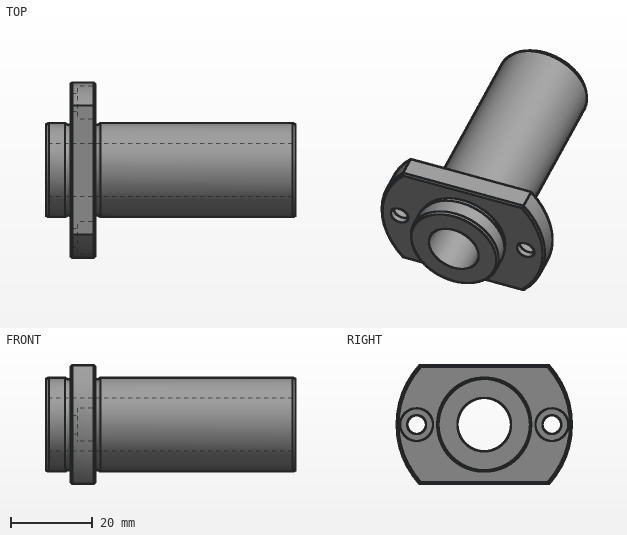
import cadquery as cq

length = 61.0
sleeve_radius = 23.0 / 2
bore_diameter = 13.0
end_chamfer_length = 0.75
end_chamfer_height = 0.35

flange_front = 6.0
flange_thickness = 6.1
flange_diameter = 42.8
flange_height = 29.0
flange_chamfer = 0.5
flange_rear = flange_front + flange_thickness

relief_width = 1.3
relief_middle_depth = 0.35
relief_flange_depth = 0.3

hole_spacing = 33.0
hole_diameter = 4.5
counterbore_diameter = 8.0
counterbore_depth = 4.4


def sleeve():
    """Revolved sleeve with tapered ends and a rounded relief on each side of the flange."""
    end_radius = sleeve_radius - end_chamfer_height
    relief_middle_radius = sleeve_radius - relief_middle_depth
    relief_flange_radius = sleeve_radius - relief_flange_depth
    front_relief_start = flange_front - relief_width
    front_relief_middle = flange_front - relief_width / 2
    rear_relief_middle = flange_rear + relief_width / 2
    rear_relief_end = flange_rear + relief_width
    profile = (
        cq.Workplane("XY")
        .lineTo(0, end_radius)
        .lineTo(end_chamfer_length, sleeve_radius)
        .lineTo(front_relief_start, sleeve_radius)
        .threePointArc((front_relief_middle, relief_middle_radius), (flange_front, relief_flange_radius))
        .lineTo(flange_rear, relief_flange_radius)
        .threePointArc((rear_relief_middle, relief_middle_radius), (rear_relief_end, sleeve_radius))
        .lineTo(length - end_chamfer_length, sleeve_radius)
        .lineTo(length, end_radius)
        .lineTo(length, 0)
        .close()
    )
    return profile.revolve(360, (0, 0, 0), (1, 0, 0))


def flange():
    """Disc cut by two flats, chamfered around both faces, with two counterbored holes."""
    front_plane = cq.Workplane("YZ", origin=(flange_front, 0, 0))
    disc = front_plane.circle(flange_diameter / 2).extrude(flange_thickness)
    flats = front_plane.rect(flange_diameter, flange_height).extrude(flange_thickness)
    return (
        disc.intersect(flats)
        .faces("<X or >X")
        .chamfer(flange_chamfer)
        .faces(">X")
        .workplane(origin=(0, 0, 0))
        .pushPoints([(-hole_spacing / 2, 0), (hole_spacing / 2, 0)])
        .cboreHole(hole_diameter, counterbore_diameter, counterbore_depth)
    )


bore = cq.Workplane("YZ").circle(bore_diameter / 2).extrude(length)
result = sleeve().union(flange()).cut(bore)